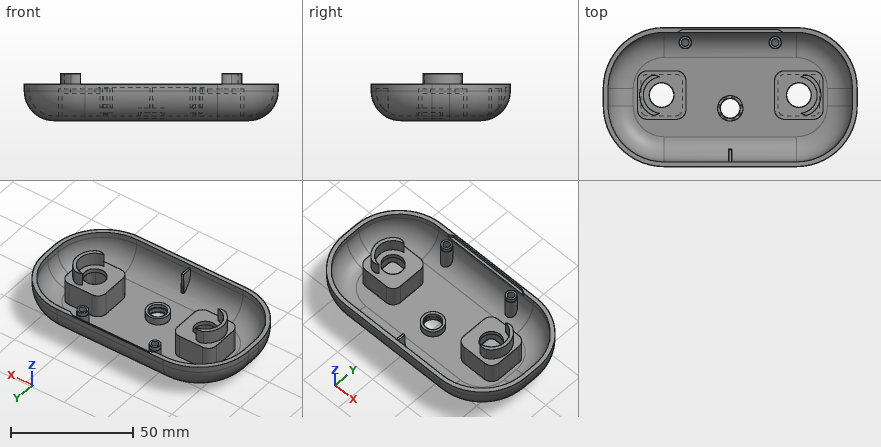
import cadquery as cq
import math

length = 104.0
width = 57.0
rim_height = 15.0
corner_radius = 25.0
edge_radius = 12.3
wall = 2.0
floor_top = wall

block_x = 28.1
block_y = 0.8
block_size = 19.9
block_corner = 4.1
block_top = 13.1
block_wall = 1.5
block_roof = 2.0
block_hole = 10.0

lip_top = 19.3
lip_outer = 9.0
lip_inner = 7.5
lip_shoulder_angle = 58.3
lip_crown = (3.3, 8.1)
lip_tip_angle = 83.3

ring_y = -4.6
ring_diameter = 10.4
ring_top = 5.3
ring_hole = 8.0
head_recess = 8.9
head_recess_depth = 3.3
underside_recess = 10.0
underside_recess_depth = 0.8

post_x = 18.4
post_y = 22.4
post_diameter = 5.1
post_bore = 3.1
post_neck_diameter = 4.8
post_neck_length = 1.8
post_top = rim_height

step_half_length = 21.5
step_taper = 2.1
step_width = 1.2
step_depth = 1.5

catch_top = 13.2
catch_tip_y = -21.6
catch_top_width = 0.9
catch_draft = 2.0



def rounded_block(size_x, size_y, height, radius):
    """Upright box on Z = 0 with rounded vertical edges."""
    return (
        cq.Workplane("XY")
        .rect(size_x, size_y)
        .extrude(height)
        .edges("|Z")
        .fillet(radius)
    )


def cylinder(x, y, diameter, bottom, top):
    return (
        cq.Workplane("XY", origin=(x, y, bottom))
        .circle(diameter / 2)
        .extrude(top - bottom)
    )


def polar(radius, angle):
    """Point to the left of the origin, at an angle measured from -X."""
    turn = math.radians(angle)
    return (-radius * math.cos(turn), radius * math.sin(turn))


def mirrored_in_y(point):
    return (point[0], -point[1])


def crescent_lip():
    """Lip for the left block, around the axis of the block hole."""
    shoulder = polar(lip_outer, lip_shoulder_angle)
    crown = (-lip_crown[0], lip_crown[1])
    tip = polar(lip_inner, lip_tip_angle)
    return (
        cq.Workplane("XY", origin=(-block_x, block_y, block_top))
        .moveTo(*mirrored_in_y(shoulder))
        .threePointArc((-lip_outer, 0), shoulder)
        .threePointArc(crown, tip)
        .threePointArc((-lip_inner, 0), mirrored_in_y(tip))
        .threePointArc(mirrored_in_y(crown), mirrored_in_y(shoulder))
        .close()
        .extrude(lip_top - block_top)
    )


def on_both_ends(left_part):
    return left_part.union(left_part.mirror("YZ"))


body = rounded_block(length, width, rim_height, corner_radius)
body = body.faces("<Z").edges().fillet(edge_radius)

cavity = rounded_block(length - 2 * wall, width - 2 * wall, rim_height, corner_radius - wall)
cavity = cavity.faces("<Z").edges().fillet(edge_radius - wall)
tray = body.cut(cavity.translate((0, 0, floor_top)))

block_place = (-block_x, block_y, 0)
block = rounded_block(block_size, block_size, block_top, block_corner).translate(block_place)
blocks = on_both_ends(block.intersect(body).union(crescent_lip()))

pocket_size = block_size - 2 * block_wall
pocket_height = block_top - block_roof
pocket = rounded_block(pocket_size, pocket_size, pocket_height, block_corner - block_wall)
pocket = pocket.translate(block_place)
block_bore = cylinder(-block_x, block_y, block_hole, 0, block_top)
block_cuts = on_both_ends(pocket.union(block_bore))

ring = cylinder(0, ring_y, ring_diameter, 0, ring_top)
ring_cuts = cylinder(0, ring_y, ring_hole, 0, ring_top)
ring_cuts = ring_cuts.union(cylinder(0, ring_y, head_recess, 0, head_recess_depth))
ring_cuts = ring_cuts.union(cylinder(0, ring_y, underside_recess, 0, underside_recess_depth))

post = cylinder(-post_x, post_y, post_diameter, 0, post_top - post_neck_length)
post = post.union(cylinder(-post_x, post_y, post_neck_diameter, 0, post_top))
post = post.cut(cylinder(-post_x, post_y, post_bore, 0, post_top))
posts = on_both_ends(post.intersect(cavity.translate((0, 0, floor_top))))

catch_length = width / 2 + catch_tip_y
catch = (
    cq.Workplane("XY", origin=(0, catch_tip_y - catch_length / 2, catch_top))
    .rect(catch_top_width, catch_length)
    .extrude(-catch_top, taper=-catch_draft)
    .intersect(body)
)

step_front = width / 2 - wall
step_cut = (
    cq.Workplane("XY", origin=(0, step_front, rim_height - step_depth))
    .polyline(
        [
            (-step_half_length, 0),
            (step_half_length, 0),
            (step_half_length - step_taper, step_width),
            (step_taper - step_half_length, step_width),
        ]
    )
    .close()
    .extrude(step_depth)
)

result = (
    tray.union(blocks)
    .union(ring)
    .union(posts)
    .union(catch)
    .cut(block_cuts)
    .cut(ring_cuts)
    .cut(step_cut)
)